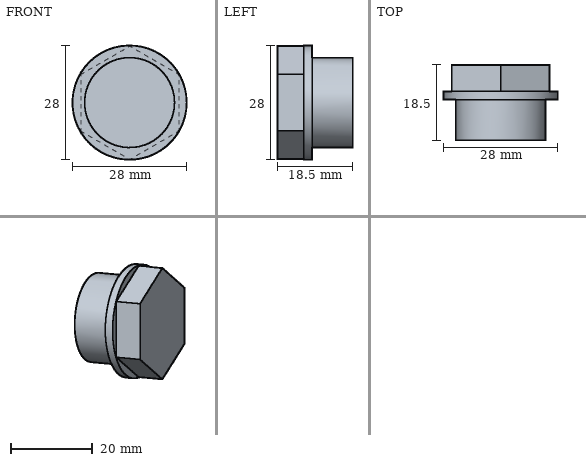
import cadquery as cq

flange_diameter = 28.0
flange_thickness = 2.0
shank_diameter = 22.0
shank_length = 10.0
hex_across_flats = 24.0
hex_height = 6.52


def disc(diameter, start_y, length):
    """Solid cylinder along +Y, starting at start_y."""
    plane = cq.Workplane("XZ", origin=(0, start_y, 0))
    return plane.circle(diameter / 2).extrude(-length)


def hex_head(across_flats, start_y, height):
    """Hexagonal prism along +Y with flats facing +X and -X and corners on Z."""
    plane = cq.Workplane("XZ", origin=(0, start_y, 0))
    return plane.polygon(6, across_flats, circumscribed=True).extrude(-height)


shank = disc(shank_diameter, -shank_length, shank_length)
flange = disc(flange_diameter, 0, flange_thickness)
head = hex_head(hex_across_flats, flange_thickness, hex_height)

result = shank.union(flange).union(head)